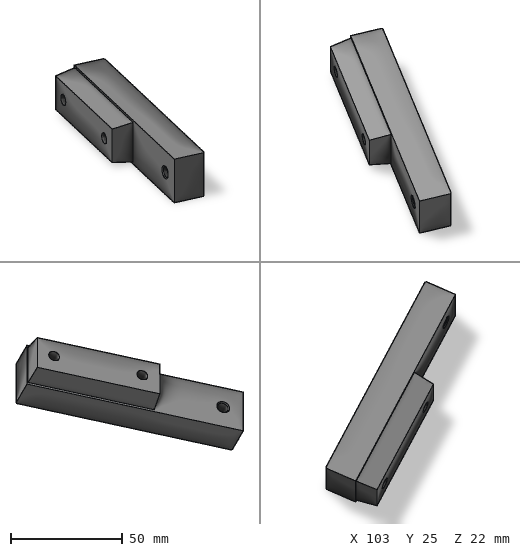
import cadquery as cq
import math

bar_length = 103.0
bar_depth = 15.0
bar_height = 22.0
back_chamfer = 0.5

total_depth = 25.0
block_depth = total_depth - bar_depth
block_left = 0.5
block_base_length = 60.0
block_base_height = 20.0
end_taper_angle = 5.0
side_inset = 1.5

hole_diameter = 5.0
first_hole_x = 9.4
hole_spacing = 42.0
blind_hole_depth = 15.0
drill_point_angle = 118.0
countersink = 0.5

block_centre_x = block_left + block_base_length / 2
end_inset = block_depth * math.tan(math.radians(end_taper_angle))
hole_radius = hole_diameter / 2
centre_z = bar_height / 2


def make_bar():
    bar = cq.Workplane("XY").box(bar_length, bar_depth, bar_height, centered=False)
    bar = bar.translate((0, -bar_depth, 0))
    return bar.edges("|Z and >Y").chamfer(back_chamfer)


def make_block():
    return (
        cq.Workplane("XZ", origin=(block_centre_x, -bar_depth, centre_z))
        .rect(block_base_length, block_base_height)
        .workplane(offset=block_depth)
        .rect(block_base_length - 2 * end_inset, block_base_height - 2 * side_inset)
        .loft(ruled=True, combine=True)
    )


def revolved_cutter(profile, x, front_y):
    """Spin a (radius, depth) profile about the hole axis, going inward from front_y."""
    return (
        cq.Workplane("XY")
        .polyline(profile)
        .close()
        .revolve(360, (0, 0, 0), (0, 1, 0))
        .translate((x, front_y, centre_z))
    )


def blind_hole(x):
    point_depth = hole_radius / math.tan(math.radians(drill_point_angle / 2))
    profile = [
        (0, 0),
        (hole_radius, 0),
        (hole_radius, blind_hole_depth),
        (0, blind_hole_depth + point_depth),
    ]
    return revolved_cutter(profile, x, -total_depth)


def countersunk_through_hole(x):
    profile = [
        (0, 0),
        (hole_radius + countersink, 0),
        (hole_radius, countersink),
        (hole_radius, bar_depth),
        (0, bar_depth),
    ]
    return revolved_cutter(profile, x, -bar_depth)


result = make_bar().union(make_block())
for index in range(2):
    result = result.cut(blind_hole(first_hole_x + index * hole_spacing))
result = result.cut(countersunk_through_hole(first_hole_x + 2 * hole_spacing))